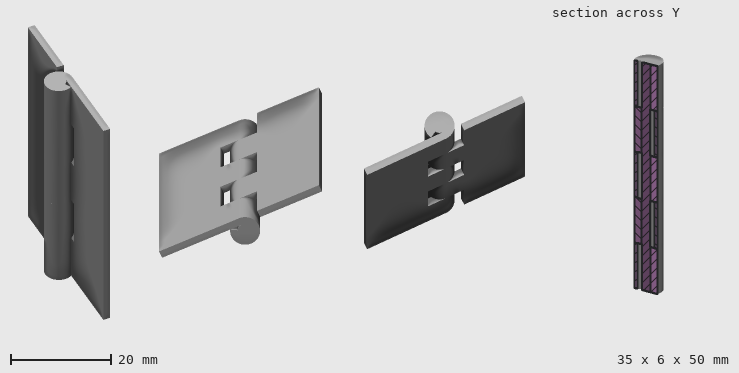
import cadquery as cq
import math

hinge_width = 35.0
hinge_height = 50.0
sheet_thickness = 1.5
pin_radius = 1.5
knuckle_count = 5
knuckle_clearance = 1.0
curl_tip_gap = 0.02

knuckle_radius = pin_radius + sheet_thickness
knuckle_height = hinge_height / knuckle_count
leaf_edge = hinge_width / 2
notch_edge = knuckle_radius + knuckle_clearance
bottom = -hinge_height / 2

curl_end_angle = math.asin((pin_radius - curl_tip_gap) / knuckle_radius)
curl_mid_angle = (math.pi / 2 + curl_end_angle + 2 * math.pi) / 2


def polar(radius, angle):
    """XY point at the given radius and angle about the hinge axis."""
    return (radius * math.cos(angle), radius * math.sin(angle))


def leaf_plate():
    """Flat part of a leaf on the +X side, stopping clear of the knuckles."""
    return (
        cq.Workplane("XY", origin=(0, 0, bottom))
        .moveTo(notch_edge, pin_radius)
        .lineTo(leaf_edge, pin_radius)
        .lineTo(leaf_edge, knuckle_radius)
        .lineTo(notch_edge, knuckle_radius)
        .close()
        .extrude(hinge_height)
    )


def knuckle(index):
    """Tab from the +X leaf rolled round the pin, at the given position from the bottom."""
    return (
        cq.Workplane("XY", origin=(0, 0, bottom + index * knuckle_height))
        .moveTo(notch_edge, knuckle_radius)
        .lineTo(0, knuckle_radius)
        .threePointArc(polar(knuckle_radius, curl_mid_angle), polar(knuckle_radius, curl_end_angle))
        .lineTo(*polar(pin_radius, curl_end_angle))
        .threePointArc(polar(pin_radius, curl_mid_angle), (0, pin_radius))
        .lineTo(notch_edge, pin_radius)
        .close()
        .extrude(knuckle_height)
    )


def leaf(first_knuckle):
    """Leaf on the +X side that carries every second knuckle."""
    body = leaf_plate()
    for index in range(first_knuckle, knuckle_count, 2):
        body = body.union(knuckle(index))
    return body.solids()


def hinge_pin():
    """Plain pin, flush with both ends of the knuckles."""
    return cq.Workplane("XY", origin=(0, 0, bottom)).circle(pin_radius).extrude(hinge_height)


right_leaf = leaf(first_knuckle=0)
left_leaf = leaf(first_knuckle=1).mirror("YZ")
pin = hinge_pin()

result = cq.Compound.makeCompound([right_leaf.val(), left_leaf.val(), pin.val()])